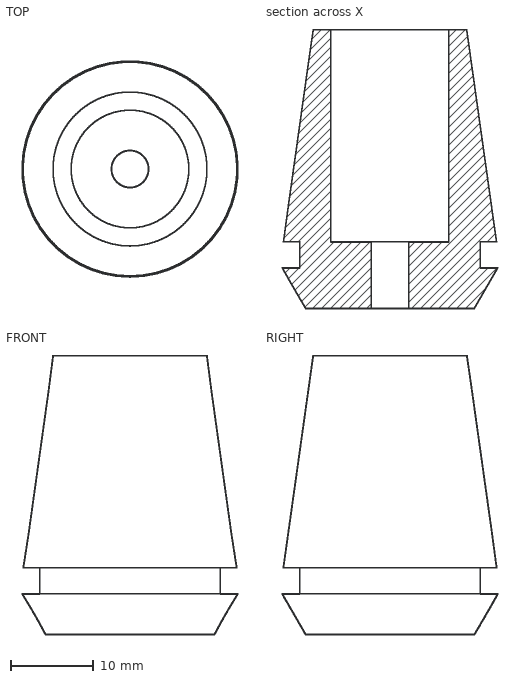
import cadquery as cq
import math

height = 34.0
top_radius = 9.4
body_taper = 8.0
flange_radius = 13.15
flange_taper = 30.0
flange_height = 4.95
groove_width = 3.15
groove_radius = 11.0
bore_radius = 7.17
hole_radius = 2.25

body_base = flange_height + groove_width
body_length = height - body_base
body_radius = top_radius + body_length * math.tan(math.radians(body_taper))
nose_radius = flange_radius - flange_height * math.tan(math.radians(flange_taper))
bore_depth = body_length


def outer_body():
    """Tapered nose, groove and long tapered body, revolved about Z."""
    profile = [
        (0, 0),
        (-nose_radius, 0),
        (-flange_radius, flange_height),
        (-groove_radius, flange_height),
        (-groove_radius, body_base),
        (-body_radius, body_base),
        (-top_radius, height),
        (0, height),
    ]
    return cq.Workplane("YZ").polyline(profile).close().revolve(360, (0, 0), (0, 1))


def stepped_bore():
    """Wide bore from the top, with a small hole through the floor."""
    bore = cq.Workplane("XY").workplane(offset=height - bore_depth).circle(bore_radius).extrude(bore_depth)
    hole = cq.Workplane("XY").circle(hole_radius).extrude(height)
    return bore.union(hole)


result = outer_body().cut(stepped_bore())